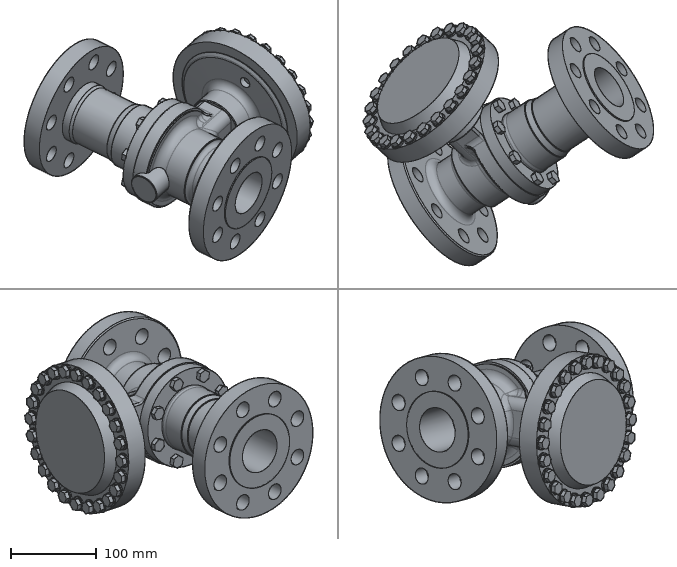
import cadquery as cq
import math


inlet_end = -164.0
overall_length = 266.2
outlet_end = inlet_end + overall_length
raised_face = 1.5
raised_face_radius = 45.5
flange_thickness = 22.4
inlet_flange_radius = 82.5
outlet_flange_radius = 86.8
outlet_flange_chamfer = 1.5
flange_hole_count = 8
flange_hole_radius = 9.5
flange_hole_circle_radius = 63.5

bore_radius = 26.4
ball_half_width = 40.0

neck_radius = 35.7
weld_collar_radius = 37.3
weld_collar_end = -130.2
tube_start = -126.5
tube_end = -77.0
hub_radius = 39.0
weld_bevel = 0.8
hub_start = -68.0
hub_flare_start = -40.5
hub_flare_end = -36.7
hub_flare_radius = 40.0

cover_face = -34.3
cover_radius = 61.2
joint = -19.5
body_flange_radius = 62.8
body_flange_end = -1.9
body_spigot_radius = 60.5
shell_radius = 42.5
shell_fillet = 11.7
shell_end = 41.0
shell_chamfer = 0.8
outlet_neck_fillet = 5.9
outlet_hub_fillet = 9.3

head_corners = 6
bolt_head_turn = 15
cover_bolt_count = 8
cover_bolt_circle_radius = 52.7
cover_bolt_height = 6.0
cover_bolt_radius = 8.0

trunnion_radius = 18.4
trunnion_reach = 67.3
trunnion_chamfer = 0.8

bracket_right = 22.5
bracket_half_height = 29.3
bracket_chamfer_width = 3.7
bracket_chamfer_depth = 1.3
bracket_round = 12.8
bracket_blend = 8.0
seam_margin = 0.3

overall_width = 237.7
operator_top = overall_width - outlet_flange_radius
neck_bottom = 73.2
neck_chamfer = 1.0
operator_neck_radius = 33.8
operator_neck_fillet = 9.3
dish_neck_height = 105.7
dish_rim_height = 108.0
dish_rim_radius = 71.3
rim_bevel_height = 108.9
rim_bevel_radius = 72.7
rim_height = 0.8
rim_radius = 76.5
case_bottom = 112.0
case_radius = 90.0
case_top = 137.5
cap_base_radius = 68.5
cap_radius = 62.3
case_bolt_count = 24
case_bolt_circle_radius = 82.0
case_washer_radius = 8.5
case_washer_thickness = 1.9
case_bolt_radius = 7.5
case_bolt_height = 5.5
port_radius = 6.7
port_depth = 8.0
port_x = 18.4
port_z = 52.0


def disc(x_start, x_end, radius):
    """Cylinder on the flow axis."""
    return cq.Workplane("YZ", origin=(x_start, 0, 0)).circle(radius).extrude(x_end - x_start)


def ring_of_points(count, radius, first_angle):
    """Evenly spaced points on a circle, angles in degrees."""
    angles = [math.radians(first_angle + i * 360 / count) for i in range(count)]
    return [(radius * math.cos(a), radius * math.sin(a)) for a in angles]


def head_outline(circle_radius, angle, head_radius, turn):
    """Corners of a bolt head at the given angle on a bolt circle, turned off the radial line."""
    centre_x = circle_radius * math.cos(math.radians(angle))
    centre_y = circle_radius * math.sin(math.radians(angle))
    corners = ring_of_points(head_corners, head_radius, angle + turn)
    return [(centre_x + x, centre_y + y) for x, y in corners]


def flange_holes(x_start):
    """Bolt holes of one pipe flange, straddling the Y and Z axes."""
    half_step = 180 / flange_hole_count
    points = ring_of_points(flange_hole_count, flange_hole_circle_radius, half_step)
    plane = cq.Workplane("YZ", origin=(x_start, 0, 0))
    return plane.pushPoints(points).circle(flange_hole_radius).extrude(flange_thickness)


def inlet_half():
    """Inlet flange, tube, hub and cover plate turned about the flow axis, with a blind bore."""
    flange_face = inlet_end + raised_face
    flange_back = flange_face + flange_thickness
    profile = (
        cq.Workplane("XY")
        .moveTo(inlet_end, 0)
        .lineTo(inlet_end, raised_face_radius)
        .lineTo(flange_face, raised_face_radius)
        .lineTo(flange_face, inlet_flange_radius)
        .lineTo(flange_back, inlet_flange_radius)
        .lineTo(flange_back, weld_collar_radius)
        .lineTo(weld_collar_end, weld_collar_radius)
        .lineTo(tube_start, neck_radius)
        .lineTo(tube_end, neck_radius)
        .lineTo(tube_end + weld_bevel, neck_radius + weld_bevel)
        .lineTo(hub_start - weld_bevel, hub_radius - weld_bevel)
        .lineTo(hub_start, hub_radius)
        .lineTo(hub_flare_start, hub_radius)
        .lineTo(hub_flare_end, hub_flare_radius)
        .lineTo(cover_face, hub_flare_radius)
        .lineTo(cover_face, cover_radius)
        .lineTo(joint, cover_radius)
        .lineTo(joint, 0)
        .close()
    )
    half = profile.revolve(360, (0, 0, 0), (1, 0, 0))
    bore = disc(inlet_end, -ball_half_width, bore_radius)
    return half.cut(flange_holes(flange_face)).cut(bore)


def body_shell():
    """Body flange with the round shell behind it, joined by a concave fillet."""
    profile = (
        cq.Workplane("XY")
        .moveTo(joint, 0)
        .lineTo(joint, body_flange_radius)
        .lineTo(body_flange_end, body_flange_radius)
        .lineTo(body_flange_end, body_spigot_radius)
        .lineTo(0, body_spigot_radius)
        .lineTo(0, shell_radius + shell_fillet)
        .radiusArc((shell_fillet, shell_radius), -shell_fillet)
        .lineTo(shell_end - shell_chamfer, shell_radius)
        .lineTo(shell_end, shell_radius - shell_chamfer)
        .lineTo(shell_end, 0)
        .close()
    )
    return profile.revolve(360, (0, 0, 0), (1, 0, 0))


def stem_bracket():
    """Block between body and operator, chamfered on its inlet side, rounded on its outlet side."""
    chamfer_end = joint + bracket_chamfer_width
    chamfer_half_height = bracket_half_height - bracket_chamfer_depth
    block = (
        cq.Workplane("XZ")
        .moveTo(joint, -chamfer_half_height)
        .lineTo(chamfer_end, -bracket_half_height)
        .lineTo(bracket_right, -bracket_half_height)
        .lineTo(bracket_right, bracket_half_height)
        .lineTo(chamfer_end, bracket_half_height)
        .lineTo(joint, chamfer_half_height)
        .close()
        .extrude(-neck_bottom)
    )
    return block.edges("|Y and >X").fillet(bracket_round)


def valve_body():
    """Shell and stem bracket with a concave blend all along the seam between them."""
    body = body_shell().union(stem_bracket())
    seam_zone = cq.selectors.BoxSelector(
        (joint - seam_margin, 0, -bracket_half_height - seam_margin),
        (bracket_right + seam_margin, body_flange_radius, bracket_half_height + seam_margin),
        boundingbox=True,
    )
    return body.edges(seam_zone).fillet(bracket_blend)


def outlet_end_piece():
    """Outlet flange and its neck, flared into the flange by a concave fillet."""
    flange_face = outlet_end - raised_face
    flange_back = flange_face - flange_thickness
    neck_start = shell_end + outlet_neck_fillet
    neck_end = flange_back - outlet_hub_fillet
    profile = (
        cq.Workplane("XY")
        .moveTo(shell_end, 0)
        .lineTo(shell_end, neck_radius + outlet_neck_fillet)
        .radiusArc((neck_start, neck_radius), -outlet_neck_fillet)
        .lineTo(neck_end, neck_radius)
        .radiusArc((flange_back, neck_radius + outlet_hub_fillet), -outlet_hub_fillet)
        .lineTo(flange_back, outlet_flange_radius - outlet_flange_chamfer)
        .lineTo(flange_back + outlet_flange_chamfer, outlet_flange_radius)
        .lineTo(flange_face, outlet_flange_radius)
        .lineTo(flange_face, raised_face_radius)
        .lineTo(outlet_end, raised_face_radius)
        .lineTo(outlet_end, 0)
        .close()
    )
    piece = profile.revolve(360, (0, 0, 0), (1, 0, 0))
    return piece.cut(flange_holes(flange_back))


def cover_bolts():
    """Hexagon heads standing on the inlet side of the cover plate."""
    heads = cq.Workplane("YZ", origin=(cover_face, 0, 0))
    for i in range(cover_bolt_count):
        angle = (i + 0.5) * 360 / cover_bolt_count
        outline = head_outline(cover_bolt_circle_radius, angle, cover_bolt_radius, -bolt_head_turn)
        heads = heads.polyline(outline).close()
    return heads.extrude(-cover_bolt_height)


def trunnion():
    """Round pin housing on the -Y side."""
    pin = cq.Workplane("XZ").circle(trunnion_radius).extrude(trunnion_reach)
    return pin.faces("<Y").chamfer(trunnion_chamfer)


def operator_case():
    """Neck, dish, case and cap turned about the stem axis, with a blind port in the dish."""
    profile = (
        cq.Workplane("XY")
        .moveTo(0, neck_bottom)
        .lineTo(operator_neck_radius - neck_chamfer, neck_bottom)
        .lineTo(operator_neck_radius, neck_bottom + neck_chamfer)
        .lineTo(operator_neck_radius, dish_neck_height - operator_neck_fillet)
        .radiusArc(
            (operator_neck_radius + operator_neck_fillet, dish_neck_height), operator_neck_fillet
        )
        .lineTo(dish_rim_radius, dish_rim_height)
        .lineTo(rim_bevel_radius, rim_bevel_height)
        .lineTo(rim_radius, case_bottom - rim_height)
        .lineTo(rim_radius, case_bottom)
        .lineTo(case_radius, case_bottom)
        .lineTo(case_radius, case_top)
        .lineTo(cap_base_radius, case_top)
        .lineTo(cap_radius, operator_top)
        .lineTo(0, operator_top)
        .close()
    )
    case = profile.revolve(360, (0, 0, 0), (0, 1, 0))
    port = (
        cq.Workplane("XZ", origin=(port_x, dish_neck_height, port_z))
        .circle(port_radius)
        .extrude(-port_depth)
    )
    return case.cut(port)


def case_bolts():
    """Ring of washers with hexagon heads on the back of the operator case."""
    washers = (
        cq.Workplane("XZ", origin=(0, case_top, 0))
        .pushPoints(ring_of_points(case_bolt_count, case_bolt_circle_radius, 0))
        .circle(case_washer_radius)
        .extrude(-case_washer_thickness)
    )
    heads = cq.Workplane("XZ", origin=(0, case_top + case_washer_thickness, 0))
    for i in range(case_bolt_count):
        angle = i * 360 / case_bolt_count
        outline = head_outline(case_bolt_circle_radius, angle, case_bolt_radius, bolt_head_turn)
        heads = heads.polyline(outline).close()
    return washers.union(heads.extrude(-case_bolt_height))


result = (
    valve_body()
    .union(inlet_half())
    .union(outlet_end_piece())
    .cut(disc(ball_half_width, outlet_end, bore_radius))
    .union(trunnion())
    .union(cover_bolts())
    .union(operator_case())
    .union(case_bolts())
)